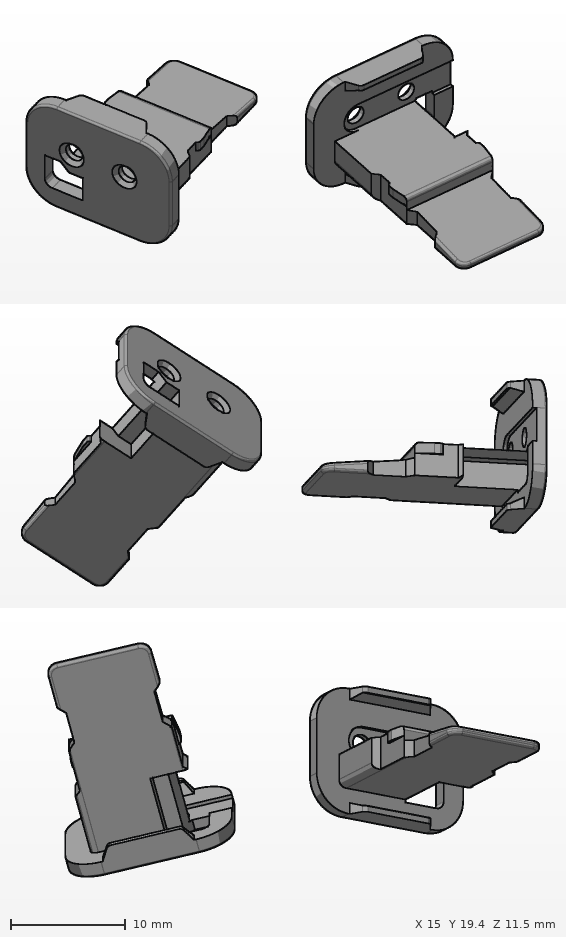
import cadquery as cq
import math

total_length = 19.35

plate_width = 14.95
plate_height = 11.5
plate_thickness = 1.32
plate_corner_radius = 3.21
plate_edge_radius = 0.21

hole_spacing = 5.42
hole_height = 1.0
hole_diameter = 1.7
countersink_diameter = 2.52
countersink_angle = 90.0

recess_depth = 0.35

tab_length = 1.32
tab_base_width = 8.2
tab_flank_angle = 30.0
tab_corner_radius = 0.46
tab_base_thickness = 1.0
tab_tip_thickness = 0.56
tab_flat_length = 0.21

beam_top = -0.48
beam_bottom = -3.45
beam_width = 10.41
beam_bottom_radius = 0.7
block_width = 9.25
block_start = 7.31
block_end = 11.2
block_top_radius = 0.39

bump_height = 0.97
bump_projection = 0.27
bump_peak_end = 9.52
bump_back = 8.67
bump_back_angle = 30.0
bump_back_radius = 0.25

window_left = -5.48
window_right = -1.59
window_top = -0.27
window_bottom = -3.7
window_step = 0.87
window_step_end = -2.98
window_corner_radius = 0.75
window_depth = 6.95

blade_root_top = -1.85
blade_tip_top = -2.75
blade_corner_radius = 0.99
blade_edge_radius = 0.27
neck_width = 7.93
neck_start = 11.86
neck_end = 14.75

recess_radius = hole_height - beam_top
notch_depth = (block_width - neck_width) / 2


def xz_plane(y):
    """Workplane facing -Y at depth y; a negative extrusion goes towards +Y."""
    return cq.Workplane("XZ", origin=(0, y, 0))


def make_plate():
    plate = (
        xz_plane(0)
        .rect(plate_width, plate_height)
        .extrude(-plate_thickness)
        .edges("|Y")
        .fillet(plate_corner_radius)
    )
    return plate.faces("<Y").edges().fillet(plate_edge_radius)


def make_top_tab():
    """Trapezoidal tab whose inner face thins towards the tip."""
    tip_y = plate_thickness + tab_length
    base_half = tab_base_width / 2
    tip_half = base_half - tab_length * math.tan(math.radians(tab_flank_angle))
    outline = (
        cq.Workplane("XY")
        .polyline([
            (-base_half, plate_thickness),
            (base_half, plate_thickness),
            (tip_half, tip_y),
            (-tip_half, tip_y),
        ])
        .close()
        .extrude(plate_height / 2)
        .edges("|Z and >Y")
        .fillet(tab_corner_radius)
    )
    outer_z = plate_height / 2
    profile = (
        cq.Workplane("YZ")
        .polyline([
            (plate_thickness, outer_z),
            (tip_y, outer_z),
            (tip_y, outer_z - tab_tip_thickness),
            (tip_y - tab_flat_length, outer_z - tab_tip_thickness),
            (plate_thickness, outer_z - tab_base_thickness),
        ])
        .close()
        .extrude(tab_base_width / 2, both=True)
    )
    return outline.intersect(profile)


def make_beam():
    """Beam that narrows at 45 degrees to the block, with rounded lower edges."""
    beam_half = beam_width / 2
    block_half = block_width / 2
    shoulder_y = block_start - (beam_half - block_half)
    section = (
        xz_plane(0)
        .center(0, (beam_top + beam_bottom) / 2)
        .rect(beam_width, beam_top - beam_bottom)
        .extrude(-block_end)
        .edges("|Y and <Z")
        .fillet(beam_bottom_radius)
    )
    outline = (
        cq.Workplane("XY", origin=(0, 0, beam_bottom))
        .polyline([
            (-beam_half, 0),
            (beam_half, 0),
            (beam_half, shoulder_y),
            (block_half, block_start),
            (block_half, block_end),
            (-block_half, block_end),
            (-block_half, block_start),
            (-beam_half, shoulder_y),
        ])
        .close()
        .extrude(beam_top - beam_bottom)
    )
    return section.intersect(outline)


def make_bumps():
    """Full-width bar whose two ends form the ramped snap bumps."""
    block_half = block_width / 2
    peak = block_half + bump_projection
    peak_start = bump_back + bump_projection * math.tan(math.radians(bump_back_angle))
    bar = (
        cq.Workplane("XY", origin=(0, 0, beam_top - bump_height))
        .polyline([
            (block_half, bump_back),
            (peak, peak_start),
            (peak, bump_peak_end),
            (block_half, block_end),
            (-block_half, block_end),
            (-peak, bump_peak_end),
            (-peak, peak_start),
            (-block_half, bump_back),
        ])
        .close()
        .extrude(bump_height)
    )
    corner_z = beam_top - bump_height / 2
    right_corner = cq.NearestToPointSelector((peak, peak_start, corner_z))
    left_corner = cq.NearestToPointSelector((-peak, peak_start, corner_z))
    return bar.edges(right_corner + left_corner).fillet(bump_back_radius)


def make_blade_stock(start, end):
    """Block-wide wedge with the blade's sloping top, from start to end in Y."""
    slope = (blade_tip_top - blade_root_top) / (total_length - block_end)
    start_top = blade_root_top + slope * (start - block_end)
    end_top = blade_root_top + slope * (end - block_end)
    return (
        cq.Workplane("YZ")
        .polyline([
            (start, beam_bottom),
            (end, beam_bottom),
            (end, end_top),
            (start, start_top),
        ])
        .close()
        .extrude(block_width / 2, both=True)
    )


def make_blade():
    """Blade with a rounded head, waisted to a neck by 45 degree side notches."""
    head = make_blade_stock(neck_end, total_length)
    head = head.edges("|Z and >Y").fillet(blade_corner_radius)
    rim = head.faces("<Z or >Z").edges("not <Y")
    head = rim.fillet(blade_edge_radius)
    root = make_blade_stock(block_end, neck_end)
    blade = head.union(root)

    block_half = block_width / 2
    neck_half = neck_width / 2
    notch = (
        cq.Workplane("XY", origin=(0, 0, beam_bottom))
        .polyline([
            (block_half, neck_start - notch_depth),
            (neck_half, neck_start),
            (neck_half, neck_end),
            (block_half, neck_end + notch_depth),
        ])
        .close()
        .extrude(beam_top - beam_bottom)
    )
    return blade.cut(notch).cut(notch.mirror("YZ"))


def make_recess():
    """Slot around the right-hand hole, open at the left end of the plate."""
    start_x = -plate_width / 2
    end_x = hole_spacing / 2
    return (
        xz_plane(plate_thickness - recess_depth)
        .moveTo(start_x, hole_height - recess_radius)
        .lineTo(end_x, hole_height - recess_radius)
        .threePointArc((end_x + recess_radius, hole_height), (end_x, hole_height + recess_radius))
        .lineTo(start_x, hole_height + recess_radius)
        .close()
        .extrude(-recess_depth)
    )


def make_window():
    """Stepped opening with one rounded lower corner."""
    step_z = window_top - window_step
    return (
        xz_plane(0)
        .polyline([
            (window_left, window_top),
            (window_step_end - window_step, window_top),
            (window_step_end, step_z),
            (window_right, step_z),
            (window_right, window_bottom),
            (window_left, window_bottom),
        ])
        .close()
        .extrude(-window_depth)
        .edges("|Y and <X and <Z")
        .fillet(window_corner_radius)
    )


top_tab = make_top_tab()
plate = make_plate().union(top_tab).union(top_tab.mirror("XY")).cut(make_recess())
plate = (
    plate.faces("<Y")
    .workplane(origin=(0, 0, 0))
    .pushPoints([(-hole_spacing / 2, hole_height), (hole_spacing / 2, hole_height)])
    .cskHole(hole_diameter, countersink_diameter, countersink_angle)
)

beam = make_beam().union(make_bumps())
beam = beam.edges("|X and >Y and >Z").fillet(block_top_radius)

result = plate.union(beam).cut(make_window()).union(make_blade())